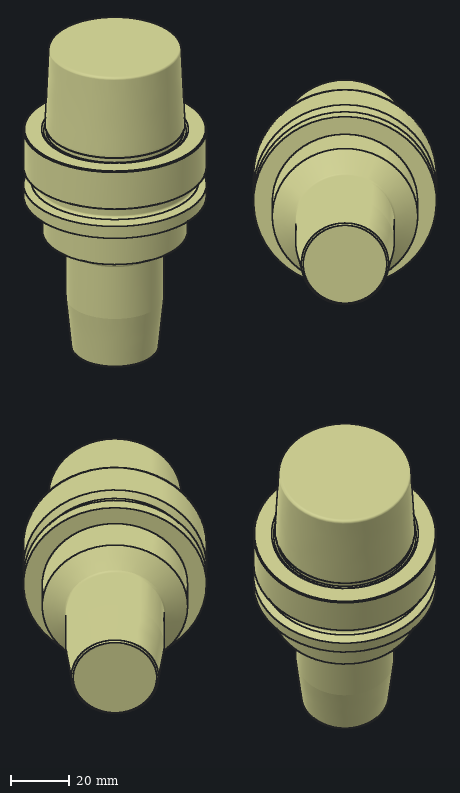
import cadquery as cq
import math

total_height = 116.9

shank_length = 32.0
shank_top_radius = 22.8
shank_base_radius = 24.1
shank_top_rounding = 1.2
shank_taper_length = 29.7
shank_land_length = 0.9
neck_radius = 23.7

recess_outer_radius = 25.3
recess_floor_radius = 24.5
recess_depth = 0.6

flange_radius = 31.5
flange_height = 26.0
flange_chamfer = 0.4
groove_center_depth = 18.0
groove_mouth_width = 6.7
groove_floor_radius = 27.8
groove_corner_radius = 1.0
groove_floor_width = 2.0

body_radius = 25.0
body_height = 13.6
shoulder_angle = 30.0
shoulder_fillet = 1.0
nose_radius = 17.0
nose_tip_radius = 15.0
nose_taper_length = 20.0
nose_tip_chamfer = 0.6

face_z = total_height - shank_length
flange_bottom_z = face_z - flange_height
body_bottom_z = flange_bottom_z - body_height
shoulder_drop = (body_radius - nose_radius) * math.tan(math.radians(shoulder_angle))
shoulder_bottom_z = body_bottom_z - shoulder_drop


def revolve(profile):
    """Turn a closed radius/height profile about the Z axis."""
    return profile.close().revolve(360, (0, 0, 0), (0, 1, 0))


def make_shank():
    """Tapered plug with a short land and a neck that reaches into the recess."""
    land_top_z = total_height - shank_taper_length
    land_bottom_z = land_top_z - shank_land_length
    profile = (
        cq.Workplane("XZ")
        .moveTo(0, face_z - recess_depth)
        .lineTo(neck_radius, face_z - recess_depth)
        .lineTo(neck_radius, land_bottom_z - (shank_base_radius - neck_radius))
        .lineTo(shank_base_radius, land_bottom_z)
        .lineTo(shank_base_radius, land_top_z)
        .lineTo(shank_top_radius, total_height)
        .lineTo(0, total_height)
    )
    return revolve(profile).faces(">Z").edges().fillet(shank_top_rounding)


def make_flange():
    """Disc with a chamfered upper rim."""
    disc = cq.Workplane("XY", origin=(0, 0, flange_bottom_z)).circle(flange_radius).extrude(flange_height)
    return disc.faces(">Z").edges().chamfer(flange_chamfer)


def make_recess():
    """Ring of material removed from the flange face, with a sloped outer wall."""
    floor_z = face_z - recess_depth
    return revolve(
        cq.Workplane("XZ")
        .moveTo(neck_radius, floor_z)
        .lineTo(recess_floor_radius, floor_z)
        .lineTo(recess_outer_radius, face_z)
        .lineTo(neck_radius, face_z)
    )


def make_groove():
    """Ring with sloped mouth, rounded corners and a flat floor."""
    center_z = face_z - groove_center_depth
    mouth = groove_mouth_width / 2
    floor = groove_floor_width / 2
    wall = floor + groove_corner_radius
    wall_radius = groove_floor_radius + groove_corner_radius
    return revolve(
        cq.Workplane("XZ")
        .moveTo(flange_radius, center_z - mouth)
        .lineTo(wall_radius, center_z - wall)
        .radiusArc((groove_floor_radius, center_z - floor), groove_corner_radius)
        .lineTo(groove_floor_radius, center_z + floor)
        .radiusArc((wall_radius, center_z + wall), groove_corner_radius)
        .lineTo(flange_radius, center_z + mouth)
    )


def make_body_and_nose():
    """Cylinder, conical shoulder and a straight nose that tapers at its end."""
    body = revolve(
        cq.Workplane("XZ")
        .lineTo(nose_tip_radius, 0)
        .lineTo(nose_radius, nose_taper_length)
        .lineTo(nose_radius, shoulder_bottom_z)
        .lineTo(body_radius, body_bottom_z)
        .lineTo(body_radius, flange_bottom_z)
        .lineTo(0, flange_bottom_z)
    )
    shoulder_corner = cq.selectors.BoxSelector(
        (-body_radius, -body_radius, shoulder_bottom_z - shoulder_fillet),
        (body_radius, body_radius, shoulder_bottom_z + shoulder_fillet),
        boundingbox=True,
    )
    body = body.edges(shoulder_corner).fillet(shoulder_fillet)
    return body.faces("<Z").edges().chamfer(nose_tip_chamfer)


flange = make_flange().cut(make_recess()).cut(make_groove())
result = flange.union(make_shank()).union(make_body_and_nose())